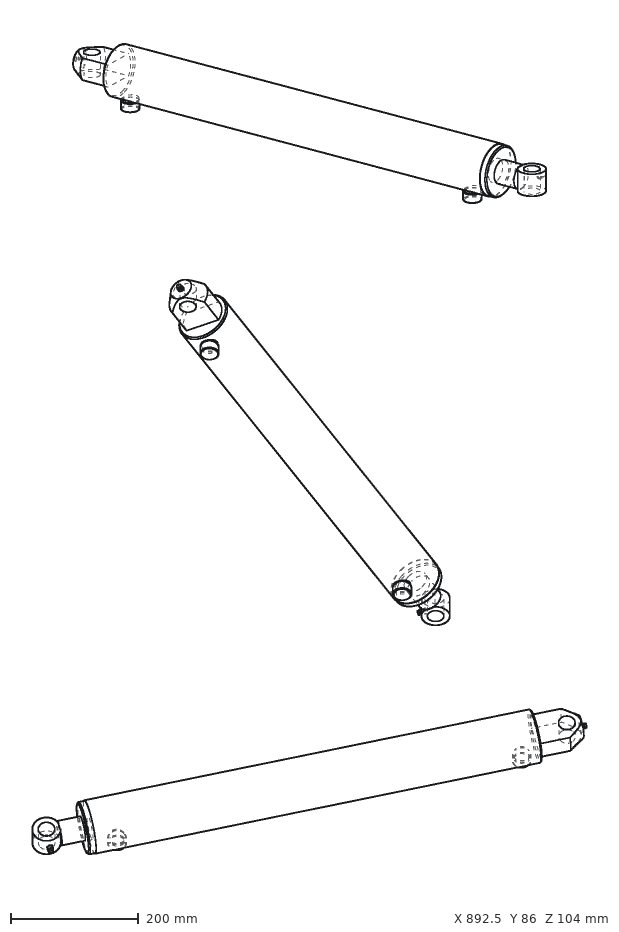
import cadquery as cq


total_length = 892.5
base_face_x = 81.0
gland_joint_x = 801.0
gland_face_x = 812.0

barrel_diameter = 86.0
gland_diameter = 84.0
end_chamfer = 2.2

base_nipple_height = 8.0
clevis_tip_x = base_nipple_height
clevis_diameter = 68.0
clevis_tip_diameter = 37.0
clevis_cone_length = 25.0
clevis_pin_x = 31.0

rod_diameter = 39.0
eye_diameter = 45.0
rod_overlap = 2.0
eye_x = total_length - eye_diameter / 2
rod_end_x = eye_x - eye_diameter / 2 + rod_overlap

lug_thickness = 37.5
pin_hole_diameter = 26.0

nipple_collar_diameter = 9.0
nipple_collar_height = 4.5
nipple_head_diameter = 7.0
nipple_socket_depth = 3.0
eye_nipple_reach = 30.0
eye_nipple_height = eye_nipple_reach - eye_diameter / 2

port_diameter = 29.5
port_bevel = 1.3
port_neck_diameter = port_diameter - 2 * port_bevel
port_top_z = -45.0
port_bottom_z = -61.0
port_positions_x = (104.0, 757.0)

nipple_seats = (
    (cq.Vector(clevis_tip_x, 0, 0), cq.Vector(-1, 0, 0), base_nipple_height),
    (cq.Vector(eye_x, eye_diameter / 2, 0), cq.Vector(0, 1, 0), eye_nipple_height),
)


def bar_along_x(diameter, start_x, end_x):
    """Round bar on the barrel axis from start_x to end_x."""
    return cq.Workplane("YZ", origin=(start_x, 0, 0)).circle(diameter / 2).extrude(end_x - start_x)


def pin_hole(x):
    """Cutter for a vertical pin hole through a lug."""
    return cq.Workplane("XY").center(x, 0).circle(pin_hole_diameter / 2).extrude(lug_thickness, both=True)


def make_nipple(seat, outward, height):
    """Grease nipple whose collar starts at the bottom of its socket."""
    socket_floor = seat - outward * nipple_socket_depth
    collar_length = nipple_socket_depth + nipple_collar_height
    collar = cq.Solid.makeCylinder(nipple_collar_diameter / 2, collar_length, socket_floor, outward)
    head_length = nipple_socket_depth + height
    head = cq.Solid.makeCylinder(nipple_head_diameter / 2, head_length, socket_floor, outward)
    return cq.Workplane(obj=collar).union(cq.Workplane(obj=head))


def make_clevis():
    """Round bar with a coned tip, flats above and below, and a pin hole."""
    cone_end_x = clevis_tip_x + clevis_cone_length
    profile = [
        (clevis_tip_x, 0),
        (clevis_tip_x, clevis_tip_diameter / 2),
        (cone_end_x, clevis_diameter / 2),
        (base_face_x, clevis_diameter / 2),
        (base_face_x, 0),
    ]
    bar = cq.Workplane("XY").polyline(profile).close().revolve(360, (0, 0, 0), (1, 0, 0))
    flats = cq.Workplane("XY").box(2 * base_face_x, clevis_diameter, lug_thickness)
    return bar.intersect(flats).cut(pin_hole(clevis_pin_x))


def make_port(x):
    """Oil port boss bevelled at both ends, with a neck that runs up into the barrel."""
    boss = (
        cq.Workplane("XY", origin=(x, 0, port_top_z))
        .circle(port_diameter / 2)
        .extrude(port_bottom_z - port_top_z)
        .faces("<Z or >Z")
        .chamfer(port_bevel)
    )
    neck = cq.Workplane("XY").center(x, 0).circle(port_neck_diameter / 2).extrude(port_top_z)
    return boss.union(neck)


def make_cylinder():
    """Barrel with its gland end, base clevis and oil ports, bored at the gland for the rod."""
    body = bar_along_x(barrel_diameter, base_face_x, gland_joint_x).faces("<X").chamfer(end_chamfer)
    gland = bar_along_x(gland_diameter, gland_joint_x, gland_face_x).faces(">X").chamfer(end_chamfer)
    body = body.union(gland).union(make_clevis())
    for x in port_positions_x:
        body = body.union(make_port(x))
    return body.cut(bar_along_x(rod_diameter, gland_joint_x, gland_face_x))


def make_rod():
    """Rod seated in the gland bore, with a vertical eye at its outer end."""
    shaft = bar_along_x(rod_diameter, gland_joint_x, rod_end_x)
    eye = cq.Workplane("XY").center(eye_x, 0).circle(eye_diameter / 2).extrude(lug_thickness / 2, both=True)
    return shaft.union(eye).cut(pin_hole(eye_x))


nipples = [make_nipple(*nipple_seat) for nipple_seat in nipple_seats]
cylinder = make_cylinder()
rod = make_rod()
for nipple in nipples:
    cylinder = cylinder.cut(nipple)
    rod = rod.cut(nipple)

result = cq.Compound.makeCompound([cylinder.val(), rod.val(), *[nipple.val() for nipple in nipples]])